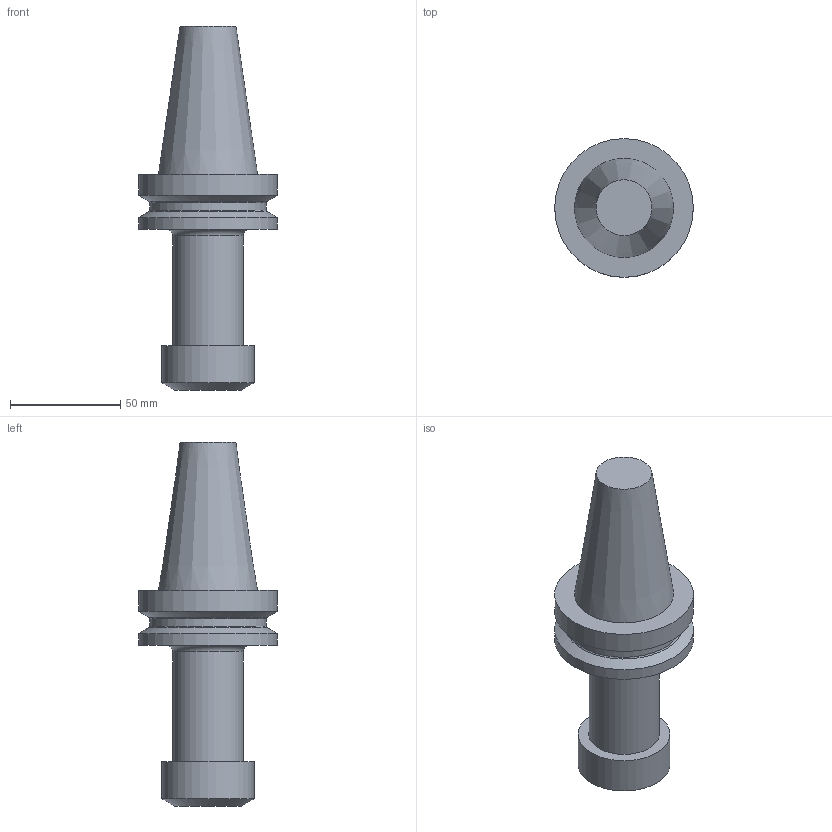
import cadquery as cq
import math

gauge_diameter = 44.45
taper_length = 65.4
taper_ratio = 7 / 24

flange_diameter = 63.0
flange_top_z = -2.0
flange_bottom_z = -27.0
groove_root_diameter = 53.0
groove_center_z = -16.6
groove_root_width = 4.4
groove_wall_angle = 30.0
groove_root_fillet = 0.8

shank_diameter = 32.0
shank_fillet = 3.0

nut_diameter = 41.9
nut_top_z = -79.8
nut_bottom_z = -100.0
nut_face_diameter = 30.4
nut_chamfer_angle = 30.0


def rise(radial_step, angle):
    """Height gained by a cone over a radial step at an angle from horizontal."""
    return radial_step * math.tan(math.radians(angle))


def taper_radius(z):
    """Radius of the spindle taper at height z."""
    return (gauge_diameter - taper_ratio * z) / 2


def disc(radius, bottom_z, top_z):
    return cq.Workplane("XY").workplane(offset=bottom_z).circle(radius).extrude(top_z - bottom_z)


def make_taper():
    return (
        cq.Workplane("XZ")
        .moveTo(0, flange_top_z)
        .lineTo(taper_radius(flange_top_z), flange_top_z)
        .lineTo(taper_radius(taper_length), taper_length)
        .lineTo(0, taper_length)
        .close()
        .revolve(360, (0, 0, 0), (0, 1, 0))
    )


def make_flange():
    rim_radius = flange_diameter / 2
    root_radius = groove_root_diameter / 2
    root_half_width = groove_root_width / 2
    mouth_half_width = root_half_width + rise(rim_radius - root_radius, groove_wall_angle)
    groove = (
        cq.Workplane("XZ")
        .moveTo(rim_radius, groove_center_z - mouth_half_width)
        .lineTo(root_radius, groove_center_z - root_half_width)
        .lineTo(root_radius, groove_center_z + root_half_width)
        .lineTo(rim_radius, groove_center_z + mouth_half_width)
        .close()
        .revolve(360, (0, 0, 0), (0, 1, 0))
    )
    root_edges = cq.selectors.RadiusNthSelector(0)
    groove = groove.edges(root_edges).fillet(groove_root_fillet)
    return disc(rim_radius, flange_bottom_z, flange_top_z).cut(groove)


def make_shank():
    radius = shank_diameter / 2
    fillet_center = (radius + shank_fillet, flange_bottom_z - shank_fillet)
    fillet_reach = shank_fillet * math.cos(math.radians(45))
    fillet_middle = (fillet_center[0] - fillet_reach, fillet_center[1] + fillet_reach)
    return (
        cq.Workplane("XZ")
        .moveTo(0, nut_top_z)
        .lineTo(radius, nut_top_z)
        .lineTo(radius, fillet_center[1])
        .threePointArc(fillet_middle, (fillet_center[0], flange_bottom_z))
        .lineTo(0, flange_bottom_z)
        .close()
        .revolve(360, (0, 0, 0), (0, 1, 0))
    )


def make_nut():
    chamfer_width = (nut_diameter - nut_face_diameter) / 2
    chamfer_height = rise(chamfer_width, nut_chamfer_angle)
    nut = disc(nut_diameter / 2, nut_bottom_z, nut_top_z)
    return nut.faces("<Z").chamfer(chamfer_height, chamfer_width)


result = make_taper().union(make_flange()).union(make_shank()).union(make_nut())